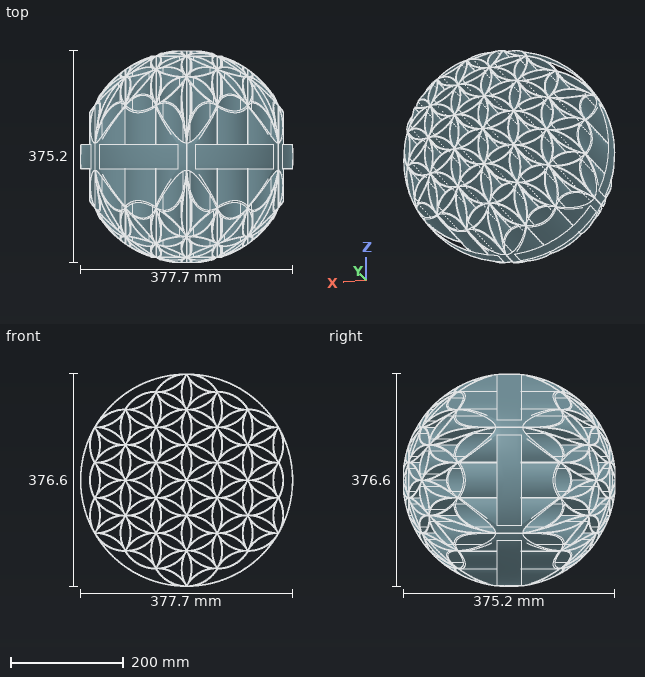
import cadquery as cq
import math

half_depth = 187.605
wall = 1.25
tip_relief = 0.3
rings = 3

pitch = half_depth / rings
inner_radius = pitch - tip_relief
outer_radius = pitch + wall
band_inner_radius = half_depth
sphere_radius = half_depth + wall
rim_radius = sphere_radius + wall
row_height = pitch * math.sqrt(3) / 2
length = 2 * half_depth
node_tolerance = pitch / 100

directions = [cq.Vector(math.cos(math.radians(a)), math.sin(math.radians(a))) for a in range(30, 390, 60)]


def grid_nodes(reach):
    """Nodes of the triangular grid up to `reach` steps from the centre."""
    step_a = directions[0] * pitch
    step_b = directions[1] * pitch
    span = range(-reach, reach + 1)
    return [step_a * i + step_b * j for i in span for j in span if abs(i + j) <= reach]


nodes = grid_nodes(rings)


def is_node(point):
    return any((point - node).Length < node_tolerance for node in nodes)


def rounded_outline(corners, middles):
    """Closed wire of arcs from corner to corner, each passing through its middle point."""
    following = corners[1:] + corners[:1]
    arcs = [cq.Edge.makeThreePointArc(a, m, b) for a, m, b in zip(corners, middles, following)]
    return cq.Wire.assembleEdges(arcs)


def petal_hole(node, direction):
    """Lens-shaped opening between a node and its neighbour in the given direction."""
    middle = node + direction * (pitch / 2)
    across = cq.Vector(-direction.y, direction.x)
    half_length = math.sqrt(inner_radius**2 - row_height**2)
    half_width = inner_radius - row_height
    corners = [middle - direction * half_length, middle + direction * half_length]
    middles = [middle - across * half_width, middle + across * half_width]
    return rounded_outline(corners, middles)


def triangle_hole(triangle):
    """Opening with three concave sides between three neighbouring nodes."""
    centre = (triangle[0] + triangle[1] + triangle[2]) * (1 / 3)
    tip_distance = math.sqrt(outer_radius**2 - pitch**2)
    corners = [node + (centre - node).normalized() * tip_distance for node in triangle]
    middles = []
    for opposite in triangle[2:] + triangle[:2]:
        away = (centre - opposite).normalized()
        middles.append(opposite + away * (2 * row_height - outer_radius))
    return rounded_outline(corners, middles)


def outer_outline():
    """Scalloped edge: the outer arcs of the twelve outermost full circles."""
    hexagon = [d * (pitch * (rings - 1)) for d in directions]
    centres = []
    for start, end in zip(hexagon, hexagon[1:] + hexagon[:1]):
        centres += [start, (start + end) * 0.5]
    corner_rise = math.sqrt(outer_radius**2 - pitch**2 / 4)
    corners = []
    for before, after in zip(centres[-1:] + centres[:-1], centres):
        along = (after - before).normalized()
        corners.append((before + after) * 0.5 + cq.Vector(along.y, -along.x) * corner_rise)
    middles = [c + c.normalized() * outer_radius for c in centres]
    return rounded_outline(corners, middles)


def flower_lattice():
    """Prism of the whole pattern, with every petal and triangle left open."""
    holes = []
    for node in nodes:
        for i, direction in enumerate(directions):
            neighbour = node + direction * pitch
            third = node + directions[(i + 1) % 6] * pitch
            if i < 3 and is_node(neighbour):
                holes.append(petal_hole(node, direction))
            if i < 2 and is_node(neighbour) and is_node(third):
                holes.append(triangle_hole([node, neighbour, third]))
    return cq.Solid.extrudeLinear(outer_outline(), holes, cq.Vector(0, 0, length))


def band():
    """Ring around the pattern, touching its outermost nodes."""
    axis = cq.Vector(0, 0, 1)
    bore = cq.Wire.makeCircle(band_inner_radius, cq.Vector(), axis)
    rim = cq.Wire.makeCircle(rim_radius, cq.Vector(), axis)
    return cq.Solid.extrudeLinear(rim, [bore], cq.Vector(0, 0, length))


body = cq.Workplane(obj=flower_lattice()).union(cq.Workplane(obj=band()))
body = body.translate((0, 0, -length / 2))
ball = cq.Workplane().sphere(sphere_radius)
result = body.intersect(ball).rotate((0, 0, 0), (1, 0, 0), 90)